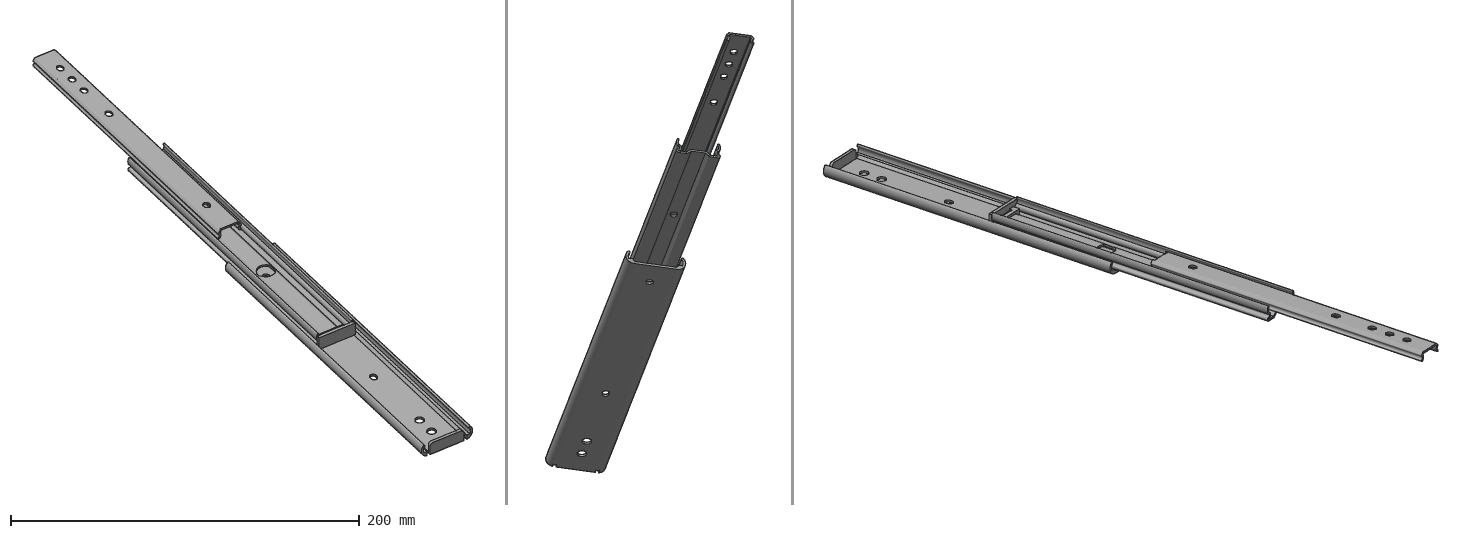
import cadquery as cq
import math

TOTAL_LENGTH = 417.35
TOTAL_WIDTH = 35.3
TOTAL_HEIGHT = 13.0

INNER_SHEET = 1.2
INNER_LENGTH = 192.0
INNER_WIDTH = 16.2
INNER_BOTTOM = 7.2
INNER_GROOVE_DEPTH = 0.9
INNER_SHOULDER_INSET = 1.2
INNER_SHOULDER_DROP = 1.3
INNER_NOTCH_LENGTH = 1.3
INNER_NOTCH_HALF = 6.0

MIDDLE_SHEET = 1.2
MIDDLE_START = 105.8
MIDDLE_END = 301.5
MIDDLE_WIDTH = 26.0
MIDDLE_BOTTOM = 2.2
MIDDLE_TOP = 12.0
MIDDLE_FLOOR_HALF = 11.6
MIDDLE_FOLD_HEIGHT = 1.3
MIDDLE_WAIST_HALF = 10.4
MIDDLE_WAIST_HEIGHT = 5.4
MIDDLE_RACE_FOOT_HEIGHT = 7.4
MIDDLE_RACE_BULGE = 0.5
RIDGE_HEIGHT = 2.2
RIDGE_TOP_HALF = 4.4
RIDGE_FOOT_HALF = 6.7
DIMPLE_X = 229.6
DIMPLE_DIAMETER = 11.0

OUTER_SHEET = 1.5
OUTER_START = 214.0
OUTER_HEIGHT = 8.5
OUTER_BEND = 4.2
LEDGE_FOOT_HALF = 12.0
LEDGE_RISE = 1.7
LEDGE_OUTER_HALF = 16.0
END_TAB_SHEET = 1.9
END_TAB_HALF = 11.6
END_TAB_HEIGHT = 8.0
END_TAB_CORNER = 2.0
END_RELIEF_HALF = 13.6

BUMPER_START = 297.0
BUMPER_END = 303.6
BUMPER_HALF = 12.5
BUMPER_TOP = 10.7
BUMPER_PAD_HALF = 8.2
BUMPER_PAD_TOP = 7.2
BUMPER_SLOT_START = 299.7
BUMPER_SLOT_HALF = 4.4
BUMPER_SLOT_BOTTOM = 6.2

SLOT_WIDTH = 4.0
INNER_SLOTS = [(16.2, 5.0), (28.5, 5.0), (40.9, 5.0), (66.6, 5.2)]
SHARED_SLOT = (168.1, 5.0)
SHARED_HOLE_DIAMETER = 4.4
OUTER_SLOT = (341.2, 5.3)
OUTER_HOLES = [388.9, 401.3]
OUTER_HOLE_DIAMETER = 5.5


def box(x_start, x_end, y_start, y_end, bottom, top):
    block = cq.Workplane("XY").box(x_end - x_start, y_end - y_start, top - bottom, centered=False)
    return block.translate((x_start, y_start, bottom))


def cylinder(x, diameter, bottom, top):
    """Vertical cylinder with its axis in the plane Y = 0."""
    return cq.Workplane("XY", origin=(x, 0, bottom)).circle(diameter / 2).extrude(top - bottom)


def slot(x, length):
    """Slot cutter along X through the full height."""
    return cq.Workplane("XY", origin=(x, 0, 0)).slot2D(length, SLOT_WIDTH).extrude(TOTAL_HEIGHT)


def bent_rail(half_centre_line, sheet, start, end):
    """Thicken the +Y half of a rail's centre line, extrude it along X and mirror it."""
    half_rail = half_centre_line.offset2D(sheet / 2).extrude(end - start).translate((start, 0, 0))
    return half_rail.union(half_rail.mirror("XZ"))


def inner_centre_line():
    wall_y = (INNER_WIDTH - INNER_SHEET) / 2
    web_z = TOTAL_HEIGHT - INNER_SHEET / 2
    shoulder_z = web_z - INNER_SHOULDER_DROP
    lip_z = INNER_BOTTOM + INNER_SHEET / 2
    groove = (wall_y - INNER_GROOVE_DEPTH, (shoulder_z + lip_z) / 2)
    return (
        cq.Workplane("YZ").moveTo(0, web_z).lineTo(wall_y - INNER_SHOULDER_INSET, web_z)
        .lineTo(wall_y, shoulder_z).threePointArc(groove, (wall_y, lip_z))
    )


def middle_centre_line():
    floor_z = MIDDLE_BOTTOM + MIDDLE_SHEET / 2
    ridge_z = floor_z + RIDGE_HEIGHT
    race_y = (MIDDLE_WIDTH - MIDDLE_SHEET) / 2
    lip = (race_y - MIDDLE_RACE_BULGE, MIDDLE_TOP - MIDDLE_SHEET / 2)
    race_foot = (lip[0], MIDDLE_RACE_FOOT_HEIGHT)
    race_crown = (race_y, (lip[1] + race_foot[1]) / 2)
    fold = (MIDDLE_FLOOR_HALF, floor_z + MIDDLE_FOLD_HEIGHT)
    fold_crown = (MIDDLE_FLOOR_HALF + MIDDLE_FOLD_HEIGHT / 2, floor_z + MIDDLE_FOLD_HEIGHT / 2)
    return (
        cq.Workplane("YZ").moveTo(0, ridge_z).lineTo(RIDGE_TOP_HALF, ridge_z)
        .lineTo(RIDGE_FOOT_HALF, floor_z).lineTo(MIDDLE_FLOOR_HALF, floor_z)
        .threePointArc(fold_crown, fold)
        .threePointArc((MIDDLE_WAIST_HALF, MIDDLE_WAIST_HEIGHT), race_foot)
        .threePointArc(race_crown, lip)
    )


def outer_centre_line():
    floor_z = OUTER_SHEET / 2
    race_y = (TOTAL_WIDTH - OUTER_SHEET) / 2
    race_z = floor_z + OUTER_BEND
    lip_z = OUTER_HEIGHT - OUTER_SHEET / 2
    floor_half = race_y - OUTER_BEND
    lip_reach = math.sqrt(OUTER_BEND ** 2 - (lip_z - race_z) ** 2)
    return (
        cq.Workplane("YZ").moveTo(0, floor_z).lineTo(floor_half, floor_z)
        .threePointArc((race_y, race_z), (floor_half + lip_reach, lip_z))
    )


def make_inner_rail():
    rail = bent_rail(inner_centre_line(), INNER_SHEET, 0, INNER_LENGTH)
    rail = rail.cut(box(
        INNER_LENGTH - INNER_NOTCH_LENGTH, INNER_LENGTH,
        -INNER_NOTCH_HALF, INNER_NOTCH_HALF, INNER_BOTTOM, TOTAL_HEIGHT,
    ))
    for x, length in INNER_SLOTS + [SHARED_SLOT]:
        rail = rail.cut(slot(x, length))
    return rail


def ridge_filling():
    """Solid under the raised strip, bounded above by the strip's upper faces."""
    floor_top = MIDDLE_BOTTOM + MIDDLE_SHEET
    ridge_top = floor_top + RIDGE_HEIGHT
    outline = [
        (-RIDGE_FOOT_HALF, MIDDLE_BOTTOM), (RIDGE_FOOT_HALF, MIDDLE_BOTTOM), (RIDGE_FOOT_HALF, floor_top),
        (RIDGE_TOP_HALF, ridge_top), (-RIDGE_TOP_HALF, ridge_top), (-RIDGE_FOOT_HALF, floor_top),
    ]
    filling = cq.Workplane("YZ").polyline(outline).close().extrude(MIDDLE_END - MIDDLE_START)
    return filling.translate((MIDDLE_START, 0, 0))


def make_middle_rail():
    rail = bent_rail(middle_centre_line(), MIDDLE_SHEET, MIDDLE_START, MIDDLE_END)
    pocket = cylinder(DIMPLE_X, DIMPLE_DIAMETER, MIDDLE_BOTTOM + MIDDLE_SHEET, MIDDLE_TOP)
    cup = cylinder(DIMPLE_X, DIMPLE_DIAMETER + 2 * MIDDLE_SHEET, MIDDLE_BOTTOM, MIDDLE_TOP)
    rail = rail.union(cup.intersect(ridge_filling())).cut(pocket)
    rail = rail.cut(cylinder(DIMPLE_X, SHARED_HOLE_DIAMETER, 0, TOTAL_HEIGHT))
    return rail.cut(slot(*SHARED_SLOT))


def outer_ledge():
    """Ledge at the foot of the +Y race: a 45 degree ramp from the floor, then flat to the wall."""
    floor_z = OUTER_SHEET / 2
    ledge_z = OUTER_SHEET + LEDGE_RISE
    ramp_foot = LEDGE_FOOT_HALF - (OUTER_SHEET - floor_z)
    outline = [
        (ramp_foot, floor_z), (LEDGE_FOOT_HALF + LEDGE_RISE, ledge_z),
        (LEDGE_OUTER_HALF, ledge_z), (LEDGE_FOOT_HALF + LEDGE_RISE, floor_z),
    ]
    ledge = cq.Workplane("YZ").polyline(outline).close().extrude(TOTAL_LENGTH - OUTER_START)
    return ledge.translate((OUTER_START, 0, 0))


def make_outer_rail():
    rail = bent_rail(outer_centre_line(), OUTER_SHEET, OUTER_START, TOTAL_LENGTH)
    ledge = outer_ledge()
    rail = rail.union(ledge).union(ledge.mirror("XZ"))
    tab_start = TOTAL_LENGTH - END_TAB_SHEET
    relief = box(tab_start, TOTAL_LENGTH, END_TAB_HALF, END_RELIEF_HALF, 0, OUTER_HEIGHT / 2)
    tab = box(tab_start, TOTAL_LENGTH, -END_TAB_HALF, END_TAB_HALF, 0, END_TAB_HEIGHT)
    tab = tab.edges("|X and >Z").fillet(END_TAB_CORNER)
    rail = rail.cut(relief).cut(relief.mirror("XZ")).union(tab)

    rail = rail.cut(cylinder(DIMPLE_X, SHARED_HOLE_DIAMETER, 0, OUTER_SHEET))
    rail = rail.cut(slot(*OUTER_SLOT))
    for x in OUTER_HOLES:
        rail = rail.cut(cylinder(x, OUTER_HOLE_DIAMETER, 0, OUTER_SHEET))
    return rail


def make_bumper(middle_rail):
    plate = box(MIDDLE_END, BUMPER_END, -BUMPER_HALF, BUMPER_HALF, MIDDLE_BOTTOM, BUMPER_TOP)
    pad = box(
        BUMPER_START, MIDDLE_END, -BUMPER_PAD_HALF, BUMPER_PAD_HALF,
        MIDDLE_BOTTOM + MIDDLE_SHEET, BUMPER_PAD_TOP,
    )
    recess = box(
        BUMPER_SLOT_START, MIDDLE_END, -BUMPER_SLOT_HALF, BUMPER_SLOT_HALF,
        BUMPER_SLOT_BOTTOM, BUMPER_TOP,
    )
    return plate.union(pad).cut(recess).cut(middle_rail)


inner_rail = make_inner_rail()
middle_rail = make_middle_rail()
outer_rail = make_outer_rail()
bumper = make_bumper(middle_rail)

bodies = [inner_rail, middle_rail, outer_rail, bumper]
result = cq.Compound.makeCompound([body.solids().val() for body in bodies])